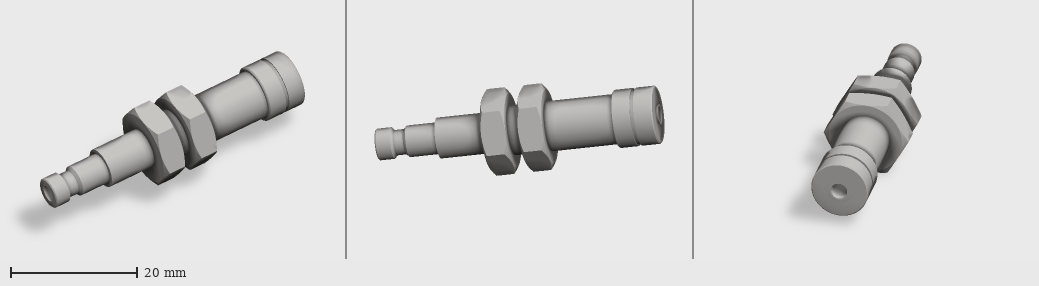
import cadquery as cq
import math

total_length = 46.0
plug_length = 10.0
hex_front = 18.0
hex_thickness = 4.0
nut_front = 24.0
head_front = 38.95
head_rear = 45.7

bore_radius = 1.35
plug_radius = 2.55
rod_radius = 3.25
barrel_radius = 4.0
head_radius = 4.65

neck_radius = 2.02
neck_front = 2.55
neck_rear = 5.0
front_shoulder = 0.4
rear_shoulder = plug_radius - neck_radius
tip_chamfer = 0.2

head_groove_front = 42.05
head_groove_width = 0.6
head_groove_depth = 0.25
head_chamfer = 0.2

nose_base_radius = 1.45
nose_end_radius = 1.65

across_flats = 12.0
corner_radius = across_flats / math.sqrt(3)
chamfer_circle_radius = across_flats / 2 - 0.05
chamfer_height = (corner_radius - chamfer_circle_radius) * math.tan(math.radians(30))


def revolve_about_y(points):
    """Revolve a closed (radius, y) outline about the Y axis."""
    return cq.Workplane("XY").polyline(points).close().revolve(360, (0, 0, 0), (0, 1, 0))


def cylinder(radius, start, end):
    """Solid cylinder on the Y axis."""
    return revolve_about_y([(0, start), (radius, start), (radius, end), (0, end)])


def chamfered_hexagon(front):
    """Hexagonal prism with corners on +X and -X, chamfered at both ends."""
    rear = front + hex_thickness
    prism = (
        cq.Workplane("XZ", origin=(0, front, 0))
        .polygon(6, 2 * corner_radius)
        .extrude(-hex_thickness)
    )
    envelope = revolve_about_y([
        (0, front),
        (chamfer_circle_radius, front),
        (corner_radius, front + chamfer_height),
        (corner_radius, rear - chamfer_height),
        (chamfer_circle_radius, rear),
        (0, rear),
    ])
    return prism.intersect(envelope)


def make_plug():
    """Stepped plug end with its necked groove."""
    return revolve_about_y([
        (0, 0),
        (plug_radius - tip_chamfer, 0),
        (plug_radius, tip_chamfer),
        (plug_radius, neck_front),
        (neck_radius, neck_front + front_shoulder),
        (neck_radius, neck_rear - rear_shoulder),
        (plug_radius, neck_rear),
        (plug_radius, plug_length),
        (0, plug_length),
    ])


def make_head():
    """Chamfered, grooved head with the flared nose behind it."""
    groove_floor = head_radius - head_groove_depth
    groove_rear = head_groove_front + head_groove_width
    return revolve_about_y([
        (0, head_front),
        (head_radius - head_chamfer, head_front),
        (head_radius, head_front + head_chamfer),
        (head_radius, head_groove_front),
        (groove_floor, head_groove_front),
        (groove_floor, groove_rear),
        (head_radius, groove_rear),
        (head_radius, head_rear - head_chamfer),
        (head_radius - head_chamfer, head_rear),
        (nose_base_radius, head_rear),
        (nose_end_radius, total_length),
        (0, total_length),
    ])


def make_coupling():
    """Plug, rod, fixed hexagon, barrel and head, bored right through."""
    rod = cylinder(rod_radius, plug_length, hex_front)
    barrel = cylinder(barrel_radius, hex_front + hex_thickness, head_front)
    coupling = make_plug().union(rod).union(chamfered_hexagon(hex_front))
    coupling = coupling.union(barrel).union(make_head())
    return coupling.cut(cylinder(bore_radius, 0, total_length))


def make_lock_nut():
    """Loose hexagonal nut seated on the barrel."""
    nut_hole = cylinder(barrel_radius, nut_front, nut_front + hex_thickness)
    return chamfered_hexagon(nut_front).cut(nut_hole)


coupling_body = make_coupling()
lock_nut = make_lock_nut()

result = cq.Compound.makeCompound([coupling_body.val(), lock_nut.val()])